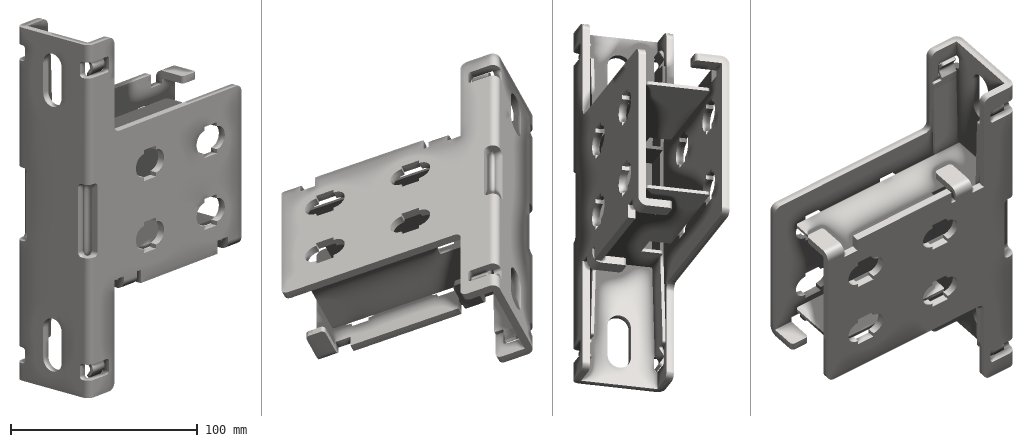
import cadquery as cq
import math


WIDTH = 51.0
LENGTH = 200.0
DEPTH = 126.0
SHEET = 4.2
HALF_WIDTH = WIDTH / 2
HALF_LENGTH = LENGTH / 2
INNER_HALF = HALF_WIDTH - SHEET
RIM_DEPTH = 21.2
ARM_HEIGHT = 91.0
ARM_TOP = ARM_HEIGHT / 2
WALL_RADIUS = 4.0

TAB_REACH = 19.2
TAB_WIDTH = 11.0
TAB_BEND_RADIUS = 4.8
TAB_CORNER = 2.0
TAB_STARTS = (29.0, DEPTH - TAB_WIDTH)
RELIEF_FLOOR = 38.0
OUTER_RELIEF_START = 106.2
MIDDLE_RELIEF_END = 43.0

HOLE_LENGTH = 23.2
HOLE_HEIGHT = 13.0
HOLE_RECT_WIDTH = HOLE_LENGTH - HOLE_HEIGHT
HOLE_RECT_HEIGHT = 17.5
HOLE_Y = (50.5, 100.5)
HOLE_Z = 20.5

SLOT_LENGTH = 30.0
SLOT_WIDTH = 13.0
SLOT_Z = 75.0

LATCH_Z = 85.5
WINDOW_HEIGHT = 9.0
WINDOW_DEPTH_Y = 16.8
WINDOW_DEPTH_X = 6.2
WINDOW_RADIUS = 1.8
BEND_SLOT_HEIGHT = 41.5
BEND_SLOT_DEPTH = 7.5
BEND_SLOT_RADIUS = 2.5

THIN = 1.8
TRAY_HALF_WIDTH = 19.5
PLATE_HALF_WIDTH = TRAY_HALF_WIDTH - THIN
TRAY_HALF_HEIGHT = 30.8
SIDE_HALF_HEIGHT = TRAY_HALF_HEIGHT - THIN
PLATE_END = 115.0
PLATE_CORNER = 1.5
NOTCH_START = 26.5
NOTCH_END = 41.5
NOTCH_DEPTH = 12.0
NOTCH_CORNER = 1.0

SPRING_START = SHEET + THIN
SHOULDER_Z = 80.0
TONGUE_END = 15.8
SHOULDER_RADIUS = 1.2
NECK_RADIUS = 0.8
TIP_RADIUS = 1.5
RAMP_TOP = 76.0
SPRING_GAP = 0.5
BEAD_RADIUS = 3.5
BEAD_INSET = 2.2
BEAD_CENTRE_X = -HALF_WIDTH + BEAD_INSET + BEAD_RADIUS
LEG_ANGLE = 35.0
TIP_LEG = 4.5


def box(x0, x1, y0, y1, z0, z1):
    return cq.Workplane("XY").box(x1 - x0, y1 - y0, z1 - z0, centered=False).translate((x0, y0, z0))


def half_turn(body):
    """The body turned by half a revolution about the Y axis."""
    return body.rotate((0, 0, 0), (0, 1, 0), 180)


def side_wall():
    """Side wall at -X, with its tabs along the top edge."""
    wall = box(-HALF_WIDTH, -INNER_HALF, 0, RIM_DEPTH, -HALF_LENGTH, HALF_LENGTH)
    wall = wall.edges("|X and >Y").fillet(WALL_RADIUS)
    wide = box(-HALF_WIDTH, -INNER_HALF, 0, DEPTH, -ARM_TOP, ARM_TOP)
    wide = wide.edges("|X and >Y and <Z").fillet(WALL_RADIUS)
    wall = wall.union(wide)
    inside_corner = cq.selectors.BoxSelector(
        (-HALF_WIDTH - 2, RIM_DEPTH - 2, -ARM_TOP - 2), (-INNER_HALF + 2, RIM_DEPTH + 2, -ARM_TOP + 2))
    wall = wall.edges("|X").edges(inside_corner).fillet(WALL_RADIUS)
    for y0, y1 in ((RIM_DEPTH, MIDDLE_RELIEF_END), (OUTER_RELIEF_START, DEPTH)):
        wall = wall.cut(box(-HALF_WIDTH, -INNER_HALF, y0, y1, RELIEF_FLOOR, ARM_TOP))
    for y0 in TAB_STARTS:
        wall = wall.union(tab().translate((0, y0, 0)))
    return wall


def tab():
    """Tab bent from the wall toward the middle, starting at Y = 0."""
    tab_end = -HALF_WIDTH + TAB_REACH
    blank = box(-HALF_WIDTH, tab_end, 0, TAB_WIDTH, RELIEF_FLOOR, ARM_TOP)
    blank = blank.edges("|Y and <X and >Z").fillet(TAB_BEND_RADIUS)
    hollow = box(-INNER_HALF, tab_end, 0, TAB_WIDTH, RELIEF_FLOOR, ARM_TOP - SHEET)
    hollow = hollow.edges("|Y and <X and >Z").fillet(TAB_BEND_RADIUS - SHEET)
    return blank.cut(hollow).edges("|Z and >X").fillet(TAB_CORNER)


def wall_holes():
    """Cutters for the four holes, passing through both side walls."""
    centres = [(y, z) for y in HOLE_Y for z in (-HOLE_Z, HOLE_Z)]
    plane = cq.Workplane("YZ").pushPoints(centres)
    slots = plane.slot2D(HOLE_LENGTH, HOLE_HEIGHT).extrude(HALF_WIDTH, both=True)
    plane = cq.Workplane("YZ").pushPoints(centres)
    return slots.union(plane.rect(HOLE_RECT_WIDTH, HOLE_RECT_HEIGHT).extrude(HALF_WIDTH, both=True))


def mounting_slots():
    plane = cq.Workplane("XZ").pushPoints([(0, -SLOT_Z), (0, SLOT_Z)])
    return plane.slot2D(SLOT_LENGTH, SLOT_WIDTH, 90).extrude(-SHEET)


def bend_opening(z, height, depth_x, depth_y, radius):
    """Cutter for an opening folded round the long bend at -X."""
    z0 = z - height / 2
    z1 = z + height / 2
    in_back = box(-HALF_WIDTH, -HALF_WIDTH + depth_x, 0, SHEET, z0, z1)
    in_back = in_back.edges("|Y and >X").fillet(radius)
    in_wall = box(-HALF_WIDTH, -INNER_HALF, 0, depth_y, z0, z1)
    in_wall = in_wall.edges("|X and >Y").fillet(radius)
    return in_back.union(in_wall)


def make_bracket():
    back = box(-HALF_WIDTH, HALF_WIDTH, 0, SHEET, -HALF_LENGTH, HALF_LENGTH)
    wall = side_wall()
    bracket = back.union(wall).union(half_turn(wall))
    bracket = bracket.edges("|Z and <Y").fillet(SHEET)
    bracket = bracket.cut(wall_holes()).cut(mounting_slots())
    openings = [bend_opening(0, BEND_SLOT_HEIGHT, BEND_SLOT_DEPTH, BEND_SLOT_DEPTH, BEND_SLOT_RADIUS)]
    for z in (-LATCH_Z, LATCH_Z):
        openings.append(bend_opening(z, WINDOW_HEIGHT, WINDOW_DEPTH_X, WINDOW_DEPTH_Y, WINDOW_RADIUS))
    for opening in openings:
        bracket = bracket.cut(opening).cut(half_turn(opening))
    return bracket


def plates():
    """Web with the upper and lower plates, both notched at -X."""
    blank = box(-PLATE_HALF_WIDTH, PLATE_HALF_WIDTH, SHEET, PLATE_END, -TRAY_HALF_HEIGHT, TRAY_HALF_HEIGHT)
    blank = blank.edges("|X and <Y").fillet(THIN)
    blank = blank.edges("|Z and >Y").fillet(PLATE_CORNER)
    plate_side = -PLATE_HALF_WIDTH
    notch = box(
        plate_side, plate_side + NOTCH_DEPTH, NOTCH_START, NOTCH_END, -TRAY_HALF_HEIGHT, TRAY_HALF_HEIGHT)
    blank = blank.cut(notch)
    mouth = cq.selectors.BoxSelector(
        (plate_side - 2, NOTCH_START - 2, -TRAY_HALF_HEIGHT), (plate_side + 2, NOTCH_END + 2, TRAY_HALF_HEIGHT))
    blank = blank.edges("|Z").edges(mouth).fillet(NOTCH_CORNER)
    inside = box(-PLATE_HALF_WIDTH, PLATE_HALF_WIDTH, SPRING_START, PLATE_END, -SIDE_HALF_HEIGHT, SIDE_HALF_HEIGHT)
    return blank.cut(inside)


def sides():
    """Web with the two side flanges that carry the springs."""
    blank = box(-TRAY_HALF_WIDTH, TRAY_HALF_WIDTH, SHEET, RIM_DEPTH, -SIDE_HALF_HEIGHT, SIDE_HALF_HEIGHT)
    blank = blank.edges("|Z and <Y").fillet(THIN)
    inside = box(-PLATE_HALF_WIDTH, PLATE_HALF_WIDTH, SPRING_START, RIM_DEPTH, -SIDE_HALF_HEIGHT, SIDE_HALF_HEIGHT)
    return blank.cut(inside)


def spring():
    """Upper spring at -X: it leans out to the wall and ends in a bead that snaps into the window."""
    sine = math.sin(math.radians(LEG_ANGLE))
    cosine = math.cos(math.radians(LEG_ANGLE))
    tangent = sine / cosine
    inner_radius = BEAD_RADIUS - THIN
    outer_x = BEAD_CENTRE_X - BEAD_RADIUS * cosine
    inner_x = BEAD_CENTRE_X - inner_radius * cosine
    outer_rise = BEAD_RADIUS * sine
    inner_rise = inner_radius * sine
    tip_dx = TIP_LEG * sine
    tip_dz = TIP_LEG * cosine
    outer_face = -INNER_HALF + SPRING_GAP
    inner_face = outer_face + THIN
    outer_neck_z = LATCH_Z - outer_rise - (outer_face - outer_x) / tangent
    inner_neck_z = LATCH_Z - inner_rise - (inner_face - inner_x) / tangent
    profile = (
        cq.Workplane("XZ", origin=(0, SPRING_START, 0))
        .moveTo(-TRAY_HALF_WIDTH, SIDE_HALF_HEIGHT)
        .lineTo(outer_face, RAMP_TOP)
        .lineTo(outer_face, outer_neck_z)
        .lineTo(outer_x, LATCH_Z - outer_rise)
        .threePointArc((BEAD_CENTRE_X - BEAD_RADIUS, LATCH_Z), (outer_x, LATCH_Z + outer_rise))
        .lineTo(outer_x + tip_dx, LATCH_Z + outer_rise + tip_dz)
        .lineTo(inner_x + tip_dx, LATCH_Z + inner_rise + tip_dz)
        .lineTo(inner_x, LATCH_Z + inner_rise)
        .threePointArc((BEAD_CENTRE_X - inner_radius, LATCH_Z), (inner_x, LATCH_Z - inner_rise))
        .lineTo(inner_face, inner_neck_z)
        .lineTo(inner_face, RAMP_TOP)
        .lineTo(-PLATE_HALF_WIDTH, SIDE_HALF_HEIGHT)
        .close()
    )
    strip = profile.extrude(SPRING_START - RIM_DEPTH)
    beside_tongue = box(-HALF_WIDTH, 0, TONGUE_END, RIM_DEPTH, SHOULDER_Z, HALF_LENGTH)
    strip = strip.cut(beside_tongue.edges("|X and <Y and <Z").fillet(NECK_RADIUS))
    strip = strip.edges("|X").edges(">Y").edges(">Z").fillet(SHOULDER_RADIUS)
    across_tip = cq.selectors.ParallelDirSelector(cq.Vector(cosine, 0, -sine))
    return strip.edges(across_tip).edges(">Z").fillet(TIP_RADIUS)


def make_insert():
    insert = plates().union(sides())
    upper_spring = spring()
    for arm in (upper_spring, upper_spring.mirror("XY")):
        insert = insert.union(arm).union(half_turn(arm))
    return insert


bracket = make_bracket()
insert = make_insert()
result = cq.Compound.makeCompound([bracket.val(), insert.val()])